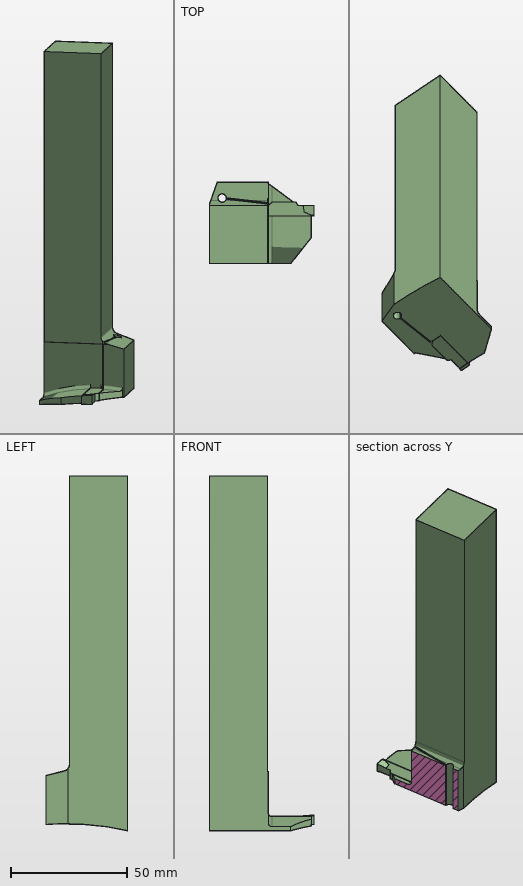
import cadquery as cq
import math

LENGTH = 152.5
SHANK = 25.0
HEAD_WIDTH = 25.3
HEAD_SHOULDER_Z = 25.6
HEAD_DEPTH = 35.1
HEAD_CORNER_Y = 25.6
HEAD_BEVEL_X = 3.4
HEAD_OUTER_Z = 23.8
HEAD_INNER_Z = 26.4
HEAD_FILLET = 2.7

UNDER_PEAK_Y = 26.0
UNDER_PEAK_Z = 3.0

BLADE_REACH = 43.8
BLADE_CORNER_X = 35.0
BLADE_CORNER_Y = 11.1
BLADE_BACK_Y = 34.5
CREST_Y = 23.6
CREST_Z = 6.3
BLADE_EDGE_Z = 1.8
ROOT_FILLET = 1.5

TIP_X = 45.0
SEAT_Y = 20.5
RAKE_Y = SHANK
RIDGE_Y = 26.5
RIDGE_START_X = 27.0
RIDGE_END_X = 37.2
RAKE_START_X = 38.1
INSERT_TOP_Z = 6.4
TIP_START_X = BLADE_REACH
TIP_LOW_Z = 2.7
TIP_HIGH_Z = 6.9
RAMP_BACK_X = 40.3
RAMP_BEND_X = 40.7
RAMP_BEND_Y = 22.3
RAMP_FRONT_X = 43.6
RAMP_FRONT_Y = 20.9

HOLE_X = 5.5
HOLE_Y = 28.2
HOLE_DIAMETER = 3.5
SLIT_WIDTH = 0.5
SLIT_END_Y = 26.0


def arch_z(y, crest_y, crest_z, edge_z):
    """Height at y of a circle that peaks at the crest and has height edge_z at y = 0."""
    sagitta = crest_z - edge_z
    radius = (crest_y**2 + sagitta**2) / (2 * sagitta)
    return crest_z - radius + (radius**2 - (y - crest_y)**2)**0.5


def arch_prism(crest_y, crest_z, edge_z, base_z):
    """Long X prism under an arch, from y = 0 to the head depth."""
    return (
        cq.Workplane("YZ")
        .moveTo(0, base_z)
        .lineTo(0, edge_z)
        .threePointArc(
            (crest_y / 2, arch_z(crest_y / 2, crest_y, crest_z, edge_z)),
            (HEAD_DEPTH, arch_z(HEAD_DEPTH, crest_y, crest_z, edge_z)),
        )
        .lineTo(HEAD_DEPTH, base_z)
        .close()
        .extrude(TIP_X)
    )


def shank_and_head():
    shank = cq.Workplane("XY").box(SHANK, SHANK, LENGTH, centered=False)
    shoulder = cq.Workplane("XY").box(HEAD_WIDTH, SHANK, HEAD_SHOULDER_Z, centered=False)
    head = (
        cq.Workplane("XY")
        .polyline([
            (0, 0),
            (HEAD_WIDTH, 0),
            (HEAD_WIDTH, HEAD_DEPTH),
            (HEAD_BEVEL_X, HEAD_DEPTH),
            (0, HEAD_CORNER_Y),
        ])
        .close()
        .extrude(LENGTH)
    )
    slope_profile = (
        cq.Workplane("YZ")
        .polyline([
            (0, 0),
            (HEAD_DEPTH, 0),
            (HEAD_DEPTH, HEAD_OUTER_Z),
            (SHANK, HEAD_INNER_Z),
            (SHANK, LENGTH),
            (0, LENGTH),
        ])
        .close()
        .extrude(HEAD_WIDTH)
    )
    inner_corner = cq.selectors.NearestToPointSelector((HEAD_WIDTH / 2, SHANK, HEAD_INNER_Z))
    slope_profile = slope_profile.edges(inner_corner).fillet(HEAD_FILLET)
    head = head.intersect(slope_profile)
    above_shoulder = (
        cq.Workplane("XY")
        .box(HEAD_WIDTH - SHANK, HEAD_DEPTH, LENGTH - HEAD_SHOULDER_Z, centered=False)
        .translate((SHANK, 0, HEAD_SHOULDER_Z))
    )
    return shank.union(shoulder).union(head).cut(above_shoulder)


def blade():
    outline = (
        cq.Workplane("XY")
        .polyline([
            (BLADE_CORNER_X, 0),
            (BLADE_REACH, BLADE_CORNER_Y),
            (BLADE_REACH, SEAT_Y),
            (RAKE_START_X, RAKE_Y),
            (HEAD_WIDTH, BLADE_BACK_Y),
            (HEAD_BEVEL_X, BLADE_BACK_Y),
            (HEAD_BEVEL_X, 0),
        ])
        .close()
        .extrude(HEAD_SHOULDER_Z)
    )
    return outline.intersect(arch_prism(CREST_Y, CREST_Z, BLADE_EDGE_Z, 0))


def insert_outline(bottom_z, top_z):
    """Prism with the insert's outline in XY, used for the insert and its seat."""
    return (
        cq.Workplane("XY", origin=(0, 0, bottom_z))
        .polyline([
            (HEAD_WIDTH, SEAT_Y),
            (TIP_X, SEAT_Y),
            (TIP_X, RAKE_Y),
            (RAKE_START_X, RAKE_Y),
            (RIDGE_END_X, RIDGE_Y),
            (RIDGE_START_X, RIDGE_Y),
            (HEAD_WIDTH, RAKE_Y),
        ])
        .close()
        .extrude(top_z - bottom_z)
    )


def cutting_ramp():
    """Low facet that rises diagonally from the bend in its outline to the cutting corner."""
    outline = (
        cq.Workplane("XY", origin=(0, 0, UNDER_PEAK_Z))
        .polyline([
            (RAMP_BACK_X, RAKE_Y),
            (RAMP_BEND_X, RAMP_BEND_Y),
            (RAMP_FRONT_X, RAMP_FRONT_Y),
            (TIP_X, RAMP_FRONT_Y),
            (TIP_X, RAKE_Y),
        ])
        .close()
        .extrude(TIP_HIGH_Z - UNDER_PEAK_Z)
    )
    run = math.hypot(TIP_X - RAMP_BEND_X, RAKE_Y - RAMP_BEND_Y)
    heading = math.degrees(math.atan2(RAKE_Y - RAMP_BEND_Y, TIP_X - RAMP_BEND_X))
    wedge = (
        cq.Workplane("XZ")
        .polyline([
            (0, UNDER_PEAK_Z),
            (run, UNDER_PEAK_Z),
            (run, TIP_HIGH_Z),
            (0, INSERT_TOP_Z),
        ])
        .close()
        .extrude(run, both=True)
        .rotate((0, 0, 0), (0, 0, 1), heading)
        .translate((RAMP_BEND_X, RAMP_BEND_Y, 0))
    )
    return outline.intersect(wedge)


def insert_body():
    """Grooving insert: a ridged bar with a deeper cutting tip and a raised corner."""
    bar = insert_outline(UNDER_PEAK_Z, INSERT_TOP_Z)
    tip = (
        cq.Workplane("XY")
        .box(TIP_X - TIP_START_X, RAKE_Y - SEAT_Y, INSERT_TOP_Z - TIP_LOW_Z, centered=False)
        .translate((TIP_START_X, SEAT_Y, TIP_LOW_Z))
    )
    return bar.union(tip).union(cutting_ramp())


def clamping_slit():
    hole = cq.Workplane("XY").center(HOLE_X, HOLE_Y).circle(HOLE_DIAMETER / 2).extrude(LENGTH)
    half = SLIT_WIDTH / 2
    slit = (
        cq.Workplane("XY")
        .polyline([
            (HOLE_X, HOLE_Y - half),
            (HEAD_WIDTH, SLIT_END_Y - half),
            (HEAD_WIDTH, SLIT_END_Y + half),
            (HOLE_X, HOLE_Y + half),
        ])
        .close()
        .extrude(LENGTH)
    )
    return hole.union(slit)


def holder_body():
    body = shank_and_head().union(blade())
    root = cq.selectors.BoxSelector(
        (SHANK, 0, BLADE_EDGE_Z / 2), (HEAD_WIDTH + ROOT_FILLET, HEAD_DEPTH, CREST_Z + ROOT_FILLET)
    )
    body = body.edges(root).edges("not |Z").fillet(ROOT_FILLET)
    underside = arch_prism(UNDER_PEAK_Y, UNDER_PEAK_Z, 0, -UNDER_PEAK_Z)
    return body.cut(underside).cut(insert_outline(0, CREST_Z + ROOT_FILLET)).cut(clamping_slit())


holder = holder_body()
insert = insert_body()
result = cq.Compound.makeCompound([holder.val(), insert.val()])